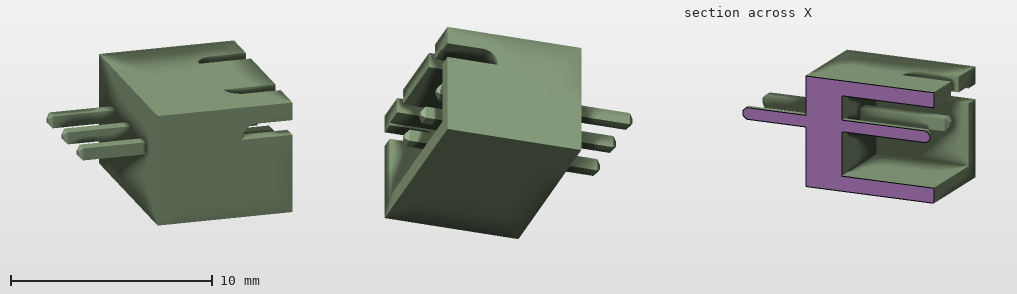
import cadquery as cq

width = 9.86
depth = 7.0
height = 5.75
wall = 0.8
floor_thickness = 1.99

top_slot_length = 2.7
top_slot_width = 0.89
top_slot_margin = 1.99
side_slot_length = 2.63
side_slot_height = 0.77
side_slot_drop = 0.92

pin_count = 3
pin_pitch = 2.55
pin_size = 0.63
pin_taper = 0.2
pin_tail = 3.45
pin_tip_recess = 0.23
pin_shift_x = 0.05
pin_z = 0.52
pin_length = pin_tail + depth - pin_tip_recess


def slot_profile(plane, length, straight_side, round_side):
    """Slot outline on a plane whose second axis is Y; one inner corner is fully rounded."""
    end_y = depth - length
    radius = abs(round_side - straight_side)
    arc_start_y = end_y + radius
    diagonal = 0.5 ** 0.5
    arc_mid = (
        straight_side + (round_side - straight_side) * diagonal,
        arc_start_y - radius * diagonal,
    )
    return (
        cq.Workplane(plane)
        .moveTo(straight_side, depth)
        .lineTo(straight_side, end_y)
        .threePointArc(arc_mid, (round_side, arc_start_y))
        .lineTo(round_side, depth)
        .close()
    )


def make_housing():
    body = cq.Workplane("XY").box(width, depth, height, centered=(True, False, True))
    cavity = (
        cq.Workplane("XY")
        .box(width - 2 * wall, depth - floor_thickness, height - 2 * wall, centered=(True, False, True))
        .translate((0, floor_thickness, 0))
    )
    return body.cut(cavity)


def cut_top_slots(housing):
    """Two mirrored slots through the top wall, rounded on their outer sides."""
    outer_x = width / 2 - top_slot_margin
    inner_x = outer_x - top_slot_width
    for side in (-1, 1):
        slot = slot_profile("XY", top_slot_length, side * inner_x, side * outer_x).extrude(height / 2)
        housing = housing.cut(slot)
    return housing


def cut_side_slots(housing):
    """One slot profile through both side walls, rounded on its upper side."""
    upper_z = height / 2 - side_slot_drop
    lower_z = upper_z - side_slot_height
    side_plane = cq.Plane(origin=(0, 0, 0), xDir=(0, 0, 1), normal=(-1, 0, 0))
    slot = slot_profile(side_plane, side_slot_length, lower_z, upper_z).extrude(width / 2, both=True)
    return housing.cut(slot)


def make_pin(x):
    """Square pin along Y with both ends tapered."""
    return (
        cq.Workplane("XY")
        .box(pin_size, pin_length, pin_size, centered=(True, False, True))
        .faces("<Y or >Y")
        .chamfer(pin_taper)
        .translate((x, -pin_tail, pin_z))
    )


result = cut_side_slots(cut_top_slots(make_housing()))
for index in range(pin_count):
    offset = index - (pin_count - 1) / 2
    result = result.union(make_pin(pin_shift_x + offset * pin_pitch))